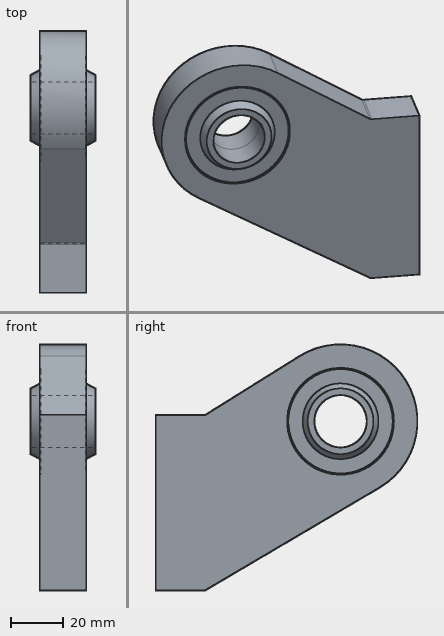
import cadquery as cq
import math

length = 100.5
height = 94.5
thickness = 18.0
eye_radius = 29.5
foot_height = 67.3
foot_depth = 19.0
corner_fillet = 1.5

bearing_width = 25.0
bore_diameter = 20.0
collar_end_diameter = 25.2
collar_base_diameter = 29.0
race_diameter = 40.0
groove_width = 0.5
groove_depth = 0.5

eye_y = length - eye_radius
eye_z = height - eye_radius


def tangent_point(corner_y, corner_z, side):
    """Point where the line from a foot corner touches the eye (side +1 above, -1 below)."""
    offset_y = corner_y - eye_y
    offset_z = corner_z - eye_z
    distance = math.hypot(offset_y, offset_z)
    angle = math.atan2(offset_z, offset_y) - side * math.acos(eye_radius / distance)
    return eye_y + eye_radius * math.cos(angle), eye_z + eye_radius * math.sin(angle)


def make_plate():
    upper_tangent = tangent_point(foot_depth, foot_height, 1)
    lower_tangent = tangent_point(foot_depth, 0, -1)
    plate = (
        cq.Workplane("YZ")
        .moveTo(0, 0)
        .lineTo(foot_depth, 0)
        .lineTo(*lower_tangent)
        .threePointArc((length, eye_z), upper_tangent)
        .lineTo(foot_depth, foot_height)
        .lineTo(0, foot_height)
        .close()
        .extrude(thickness / 2, both=True)
    )
    inner_corner = cq.selectors.NearestToPointSelector((0, foot_depth, foot_height))
    return plate.edges("|X").edges(inner_corner).fillet(corner_fillet)


def revolve_about_eye(profile):
    """Revolve an (X, radius) profile about the eye axis."""
    return (
        cq.Workplane("XY", origin=(0, eye_y, eye_z))
        .polyline(profile)
        .close()
        .revolve(360, (0, 0), (1, 0))
    )


def make_collars():
    """Inner ring core with a conical collar standing out of each plate face."""
    face_x = thickness / 2
    end_x = bearing_width / 2
    return revolve_about_eye([
        (-end_x, 0),
        (-end_x, collar_end_diameter / 2),
        (-face_x, collar_base_diameter / 2),
        (face_x, collar_base_diameter / 2),
        (end_x, collar_end_diameter / 2),
        (end_x, 0),
    ])


def make_groove(side):
    """V groove around the bearing race: straight inner wall, chamfered outer wall."""
    face_x = side * thickness / 2
    race_radius = race_diameter / 2
    return revolve_about_eye([
        (face_x, race_radius),
        (face_x - side * groove_depth, race_radius),
        (face_x, race_radius + groove_width),
    ])


bore = (
    cq.Workplane("YZ")
    .center(eye_y, eye_z)
    .circle(bore_diameter / 2)
    .extrude(bearing_width, both=True)
)

result = make_plate().union(make_collars()).cut(bore)
for side in (-1, 1):
    result = result.cut(make_groove(side))